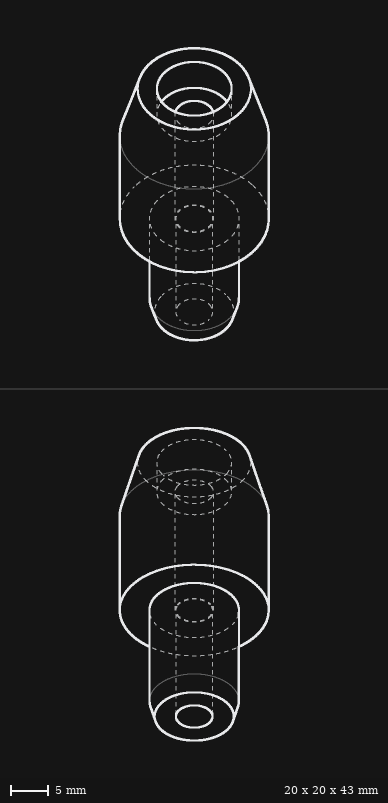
import cadquery as cq
import math

total_height = 43.0
body_diameter = 20.0
shank_diameter = 12.0
shank_length = 17.97
taper_angle = 15.0
nose_length = 9.0
shank_taper_length = 2.6

counterbore_diameter = 10.0
counterbore_depth = 5.0
upper_hole_diameter = 5.15
lower_hole_diameter = 4.9

body_radius = body_diameter / 2
shank_radius = shank_diameter / 2
taper_slope = math.tan(math.radians(taper_angle))
nose_radius = body_radius - nose_length * taper_slope
shank_tip_radius = shank_radius - shank_taper_length * taper_slope


def make_pin():
    """Revolve the tapered shank, body and nose about the Z axis."""
    profile = [
        (0, 0),
        (shank_tip_radius, 0),
        (shank_radius, shank_taper_length),
        (shank_radius, shank_length),
        (body_radius, shank_length),
        (body_radius, total_height - nose_length),
        (nose_radius, total_height),
        (0, total_height),
    ]
    return cq.Workplane("XZ").polyline(profile).close().revolve(360, (0, 0), (0, 1))


def cut_bore(pin):
    """Cut the counterbore, the wider hole through the body and the narrower one through the shank."""
    nose_face = pin.faces(">Z").workplane()
    bored = nose_face.cboreHole(
        upper_hole_diameter, counterbore_diameter, counterbore_depth, total_height - shank_length
    )
    shank_face = bored.faces("<Z").workplane()
    return shank_face.hole(lower_hole_diameter, shank_length)


result = cut_bore(make_pin())